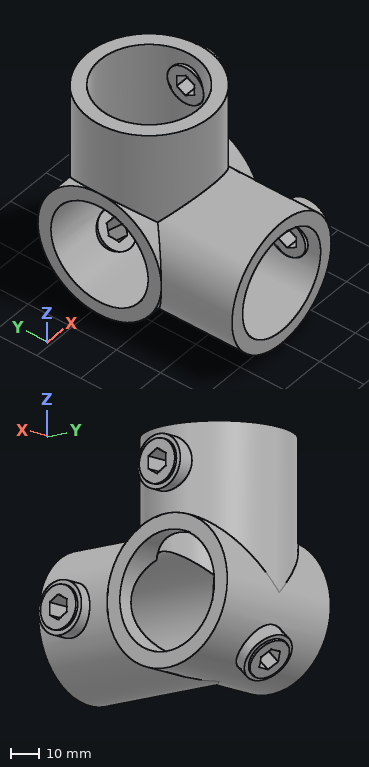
import cadquery as cq
import math

overall_size = 90.05
tube_diameter = 56.0
bore_diameter = 44.0
through_length = tube_diameter

boss_diameter = 20.0
boss_reach = 32.5
boss_to_open_end = 14.0
screw_diameter = 16.5
screw_inner_reach = 20.5
screw_outer_reach = 33.5
hex_across_flats = 8.0
hex_across_corners = hex_across_flats / math.cos(math.radians(30))

boss_overhang = (boss_reach + boss_diameter / 2) * math.sqrt(0.5)
branch_length = overall_size - boss_overhang

x_axis = (1, 0, 0)
z_axis = (0, 0, 1)
screw_station = branch_length - boss_to_open_end
back_corner = (0, math.sqrt(0.5), -math.sqrt(0.5))

screw_planes = [
    cq.Plane(origin=(0, 0, screw_station), xDir=z_axis, normal=x_axis),
    cq.Plane(origin=(0, -screw_station, 0), xDir=z_axis, normal=x_axis),
    cq.Plane(origin=(0, 0, 0), xDir=x_axis, normal=back_corner),
]


def three_way_cylinders(diameter):
    """Through cylinder along X joined with the -Y and +Z branch cylinders."""
    radius = diameter / 2
    through = cq.Workplane("YZ").circle(radius).extrude(through_length / 2, both=True)
    front_branch = cq.Workplane("XZ").circle(radius).extrude(branch_length)
    upper_branch = cq.Workplane("XY").circle(radius).extrude(branch_length)
    return through.union(front_branch).union(upper_branch)


def make_fitting():
    """Three-way fitting with a bored boss for every screw."""
    fitting = three_way_cylinders(tube_diameter)
    for plane in screw_planes:
        boss = cq.Workplane(plane).circle(boss_diameter / 2).extrude(boss_reach)
        fitting = fitting.union(boss)
    fitting = fitting.cut(three_way_cylinders(bore_diameter))
    for plane in screw_planes:
        screw_hole = cq.Workplane(plane).circle(screw_diameter / 2).extrude(screw_outer_reach)
        fitting = fitting.cut(screw_hole)
    return fitting


def make_grub_screw(plane):
    """Grub screw with a hexagonal socket right through it."""
    return (
        cq.Workplane(plane)
        .workplane(offset=screw_inner_reach)
        .circle(screw_diameter / 2)
        .polygon(6, hex_across_corners)
        .extrude(screw_outer_reach - screw_inner_reach)
    )


fitting = make_fitting()
grub_screws = [make_grub_screw(plane) for plane in screw_planes]

result = cq.Compound.makeCompound([fitting.val(), *[screw.val() for screw in grub_screws]])